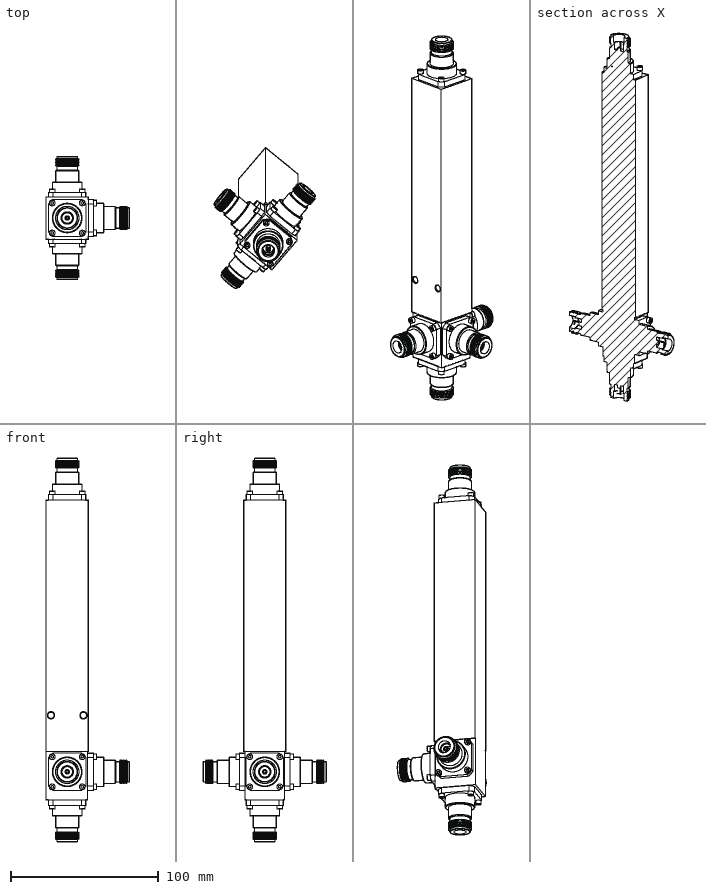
import cadquery as cq
import math

overall_x = 56.64
overall_y = 83.57
overall_z = 260.1

bar_width = 28.8
block_width_y = 26.8
block_height = 33.0
port_height = 19.1

connector_length = (overall_y - block_width_y) / 2
housing_length = overall_z - 2 * connector_length
block_right = overall_x - connector_length - bar_width / 2

flange_size = 25.4
flange_chamfer = 3.1
flange_thickness = 3.8
screw_spacing = 20.4
screw_head_diameter = 3.86
screw_head_height = 2.3
hex_socket_size = 1.6
hex_socket_depth = 1.2

shoulder_diameter = 20.07
shoulder_top = 11.0
shoulder_chamfer = 0.4
barrel_diameter = 15.88
barrel_top = 19.1
barrel_chamfer = 0.6
neck_diameter = 13.97
thread_start = 21.6
thread_pitch = 25.4 / 24
thread_count = 5
thread_crest = 0.2
end_chamfer = 0.3

mouth_diameter = 8.38
mouth_depth = 5.0
bore_diameter = 7.11
bore_depth = 10.0
contact_diameter = 3.0
contact_recess = 4.0
contact_hole_diameter = 1.6
contact_hole_depth = 4.0

hole_mouth_diameter = 5.0
hole_diameter = 4.2
hole_spacing = 22.0
hole_height = 57.4
hole_depth = 10.0
drill_point_angle = 118.0


def cylinder(diameter, bottom, top):
    return cq.Workplane("XY").workplane(offset=bottom).circle(diameter / 2).extrude(top - bottom)


def make_housing():
    """Bar and port block, with the underside of the block at Z = 0."""
    left = -bar_width / 2
    block = cq.Workplane("XY").box(
        block_right - left, block_width_y, block_height, centered=(False, True, False)
    ).translate((left, 0, 0))
    bar = cq.Workplane("XY").box(
        bar_width, bar_width, housing_length - block_height, centered=(True, True, False)
    ).translate((0, 0, block_height))
    return block.union(bar)


def make_mounting_hole():
    """Blind drilled hole along +Y from Y = 0, with a chamfered mouth and a conical end."""
    mouth_radius = hole_mouth_diameter / 2
    radius = hole_diameter / 2
    mouth_chamfer = mouth_radius - radius
    tip_length = radius / math.tan(math.radians(drill_point_angle / 2))
    profile = [
        (0, 0),
        (mouth_radius, 0),
        (radius, mouth_chamfer),
        (radius, hole_depth),
        (0, hole_depth + tip_length),
    ]
    return cq.Workplane("XY").polyline(profile).close().revolve(360, (0, 0, 0), (0, 1, 0))


def make_screw_head():
    bottom = flange_thickness
    top = bottom + screw_head_height
    socket = (
        cq.Workplane("XY")
        .workplane(offset=top - hex_socket_depth)
        .polygon(6, hex_socket_size, circumscribed=True)
        .extrude(hex_socket_depth)
    )
    return cylinder(screw_head_diameter, bottom, top).cut(socket)


def make_threaded_shell():
    """Solid of revolution: shoulder, barrel, neck and ring-shaped thread ridges."""
    shoulder_radius = shoulder_diameter / 2
    barrel_radius = barrel_diameter / 2
    neck_radius = neck_diameter / 2
    flank = (thread_pitch - thread_crest) / 2
    profile = [
        (0, 0),
        (shoulder_radius, 0),
        (shoulder_radius, shoulder_top - shoulder_chamfer),
        (shoulder_radius - shoulder_chamfer, shoulder_top),
        (barrel_radius, shoulder_top),
        (barrel_radius, barrel_top - barrel_chamfer),
        (barrel_radius - barrel_chamfer, barrel_top),
        (neck_radius, barrel_top),
    ]
    for ridge in range(thread_count):
        start = thread_start + ridge * thread_pitch
        profile += [
            (neck_radius, start),
            (barrel_radius, start + flank),
            (barrel_radius, start + flank + thread_crest),
        ]
    thread_end = thread_start + thread_count * thread_pitch
    profile += [
        (neck_radius, thread_end),
        (neck_radius, connector_length - end_chamfer),
        (neck_radius - end_chamfer, connector_length),
        (0, connector_length),
    ]
    return cq.Workplane("XZ").polyline(profile).close().revolve(360, (0, 0, 0), (0, 1, 0))


def make_connector():
    """Flanged coaxial connector pointing along +Z, with its mounting face at Z = 0."""
    flange = (
        cq.Workplane("XY")
        .box(flange_size, flange_size, flange_thickness, centered=(True, True, False))
        .edges("|Z")
        .chamfer(flange_chamfer)
    )
    body = flange.union(make_threaded_shell())

    end = connector_length
    contact_top = end - contact_recess
    body = body.cut(cylinder(mouth_diameter, end - mouth_depth, end))
    body = body.cut(cylinder(bore_diameter, end - bore_depth, end))
    body = body.union(cylinder(contact_diameter, end - bore_depth, contact_top))
    body = body.cut(cylinder(contact_hole_diameter, contact_top - contact_hole_depth, contact_top))

    screw_head = make_screw_head()
    for x_side in (-1, 1):
        for y_side in (-1, 1):
            place = (x_side * screw_spacing / 2, y_side * screw_spacing / 2, 0)
            body = body.union(screw_head.translate(place))
    return body


def add_connectors(housing):
    connector = make_connector()
    origin = (0, 0, 0)
    x_axis = (1, 0, 0)
    y_axis = (0, 1, 0)
    block_side = block_width_y / 2
    placements = [
        (x_axis, 0, (0, 0, housing_length)),
        (x_axis, 180, (0, 0, 0)),
        (x_axis, 90, (0, -block_side, port_height)),
        (x_axis, -90, (0, block_side, port_height)),
        (y_axis, 90, (block_right, 0, port_height)),
    ]
    for axis, angle, position in placements:
        housing = housing.union(connector.rotate(origin, axis, angle).translate(position))
    return housing


def cut_mounting_holes(housing):
    hole = make_mounting_hole()
    for side in (-1, 1):
        housing = housing.cut(hole.translate((side * hole_spacing / 2, -bar_width / 2, hole_height)))
    return housing


result = add_connectors(cut_mounting_holes(make_housing()))